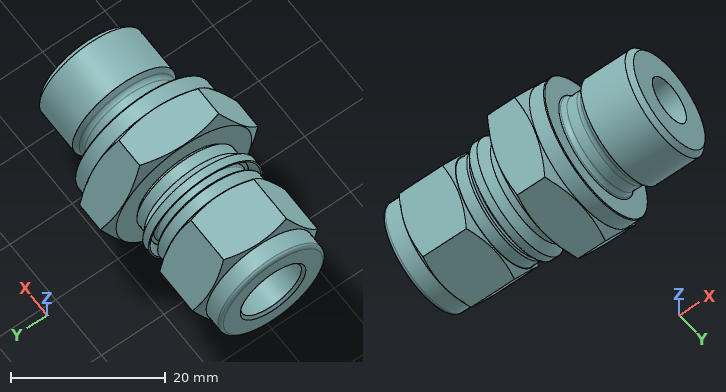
import cadquery as cq
import math

collar_end = 3.05
nut_end = 12.0
skirt_end = 14.0
ring_start = 14.8
recess_floor_end = 15.6
ring_end = 16.05
shank_end = 19.45
hex_end = 26.05
flange_end = 28.48
groove_floor_start = 29.45
groove_floor_end = 31.07
length = 40.5

collar_diameter = 17.0
nut_flats = 17.45
skirt_diameter = 16.8
neck_diameter = 14.35
ring_diameter = 18.25
ring_rim_diameter = 17.75
shank_diameter = 15.8
body_flats = 22.0
flange_diameter = 21.8
groove_diameter = 14.7
spigot_diameter = 16.6

collar_fillet = 0.53
skirt_chamfer = 0.25
shank_chamfer = 0.45
flange_chamfer = 0.12
spigot_chamfer = 0.75
recess_fillet = 0.65
groove_fillet = 1.15
groove_slope = math.radians(45)
hex_chamfer_slope = math.radians(30)

bore_diameter = 7.15
socket_diameter = 9.72
socket_depth = 16.6
socket_mouth_chamfer = 0.4


def cylinder(start, end, diameter):
    """Solid round section between two stations along X."""
    return cq.Workplane("YZ", origin=(start, 0, 0)).circle(diameter / 2).extrude(end - start)


def chamfered_hexagon(start, end, flats, face_diameter):
    """Hexagon with corners on Y, both ends turned conically down to face_diameter."""
    corners = flats / math.cos(math.radians(30))
    prism = cq.Workplane("YZ", origin=(start, 0, 0)).polygon(6, corners).extrude(end - start)
    cone_radius = corners / 2
    face_radius = face_diameter / 2
    cone_length = (cone_radius - face_radius) * math.tan(hex_chamfer_slope)
    envelope = (
        cq.Workplane("XY")
        .moveTo(start, 0)
        .lineTo(start, face_radius)
        .lineTo(start + cone_length, cone_radius)
        .lineTo(end - cone_length, cone_radius)
        .lineTo(end, face_radius)
        .lineTo(end, 0)
        .close()
        .revolve(360, (0, 0, 0), (1, 0, 0))
    )
    return prism.intersect(envelope)


def cone(start, end, start_diameter, end_diameter):
    """Solid tapered section between two stations along X."""
    height = end - start
    axis = cq.Vector(1, 0, 0)
    solid = cq.Solid.makeCone(
        start_diameter / 2, end_diameter / 2, height, cq.Vector(start, 0, 0), axis
    )
    return cq.Workplane(solid)


def ring_recess():
    """Annular hollow in the ring's front face: the neck runs in then a fillet and a cone lead to the rim."""
    neck = neck_diameter / 2
    rim = ring_rim_diameter / 2
    mid_run = recess_fillet * math.sin(math.radians(45))
    mid_rise = recess_fillet - mid_run
    return (
        cq.Workplane("XY")
        .moveTo(ring_start, neck)
        .lineTo(recess_floor_end, neck)
        .threePointArc(
            (recess_floor_end + mid_run, neck + mid_rise),
            (recess_floor_end + recess_fillet, neck + recess_fillet),
        )
        .lineTo(ring_start, rim)
        .close()
        .revolve(360, (0, 0, 0), (1, 0, 0))
    )


def ferrule_ring():
    """Raised ring whose rear flank slopes at 45 degrees down to the shank."""
    ring = cylinder(ring_start, ring_end, ring_diameter)
    flank_end = ring_end + (ring_diameter - shank_diameter) / 2
    ring = ring.union(cone(ring_end, flank_end, ring_diameter, shank_diameter))
    return ring.cut(ring_recess())


def relief_groove():
    """Groove floor with a rounded run-out at each end, sloping up to the flange and spigot."""
    floor = groove_diameter / 2
    spigot = spigot_diameter / 2
    run = groove_fillet * math.sin(groove_slope)
    rise = groove_fillet * (1 - math.cos(groove_slope))
    mid_run = groove_fillet * math.sin(groove_slope / 2)
    mid_rise = groove_fillet * (1 - math.cos(groove_slope / 2))
    flange_gap = groove_floor_start - run - flange_end
    flange_radius = floor + rise + flange_gap * math.tan(groove_slope)
    spigot_start = groove_floor_end + run + (spigot - floor - rise) / math.tan(groove_slope)
    groove = (
        cq.Workplane("XY")
        .moveTo(flange_end, 0)
        .lineTo(flange_end, flange_radius)
        .lineTo(groove_floor_start - run, floor + rise)
        .threePointArc((groove_floor_start - mid_run, floor + mid_rise), (groove_floor_start, floor))
        .lineTo(groove_floor_end, floor)
        .threePointArc(
            (groove_floor_end + mid_run, floor + mid_rise), (groove_floor_end + run, floor + rise)
        )
        .lineTo(spigot_start, spigot)
        .lineTo(spigot_start, 0)
        .close()
        .revolve(360, (0, 0, 0), (1, 0, 0))
    )
    return groove, spigot_start


collar = cylinder(0, collar_end, collar_diameter).faces("<X").edges().fillet(collar_fillet)
nut = chamfered_hexagon(collar_end, nut_end, nut_flats, collar_diameter)
skirt = cylinder(nut_end, skirt_end, skirt_diameter).faces(">X").chamfer(skirt_chamfer)

neck = cylinder(skirt_end, ring_start, neck_diameter)
shank = cylinder(ring_end, shank_end, shank_diameter).faces(">X").chamfer(shank_chamfer)
body_hexagon = chamfered_hexagon(shank_end, hex_end, body_flats, flange_diameter)
flange = cylinder(hex_end, flange_end, flange_diameter).faces(">X").chamfer(flange_chamfer)

groove, spigot_start = relief_groove()
spigot = cylinder(spigot_start, length, spigot_diameter).faces(">X").chamfer(spigot_chamfer)

result = collar
for section in (nut, skirt, neck, ferrule_ring(), shank, body_hexagon, flange, groove, spigot):
    result = result.union(section)

socket = cylinder(0, socket_depth, socket_diameter)
mouth_diameter = socket_diameter + 2 * socket_mouth_chamfer
mouth = cone(0, socket_mouth_chamfer, mouth_diameter, socket_diameter)
result = result.cut(cylinder(0, length, bore_diameter)).cut(socket).cut(mouth)